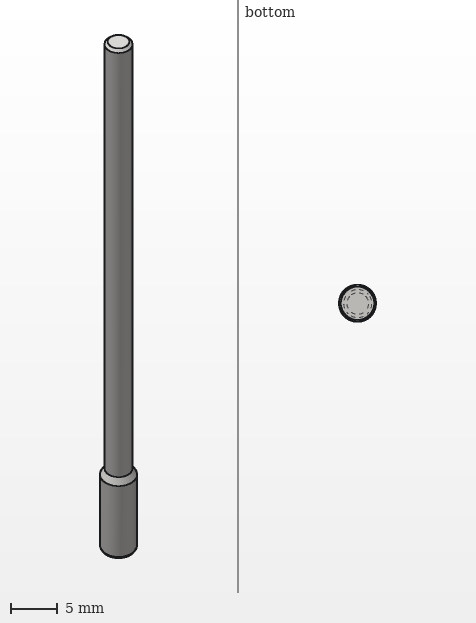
import cadquery as cq

total_length = 70.0
rod_diameter = 3.0
base_diameter = 4.0
base_length = 11.0

rod_tip_chamfer = 0.35
base_foot_chamfer_height = 0.35
base_foot_chamfer_width = 0.2
shoulder_height = 0.85

rod_radius = rod_diameter / 2
base_radius = base_diameter / 2


def make_base():
    """Thicker lower pin: chamfered foot, and a shoulder tapering to the rod."""
    foot_radius = base_radius - base_foot_chamfer_width
    half_profile = [
        (0, 0),
        (foot_radius, 0),
        (base_radius, base_foot_chamfer_height),
        (base_radius, base_length - shoulder_height),
        (rod_radius, base_length),
        (0, base_length),
    ]
    return cq.Workplane("XZ").polyline(half_profile).close().revolve(360, (0, 0), (0, 1))


def make_rod():
    """Slender rod standing on the base, with a chamfered tip."""
    rod = (
        cq.Workplane("XY")
        .workplane(offset=base_length)
        .circle(rod_radius)
        .extrude(total_length - base_length)
    )
    return rod.faces(">Z").edges().chamfer(rod_tip_chamfer)


base = make_base()
rod = make_rod()

result = cq.Compound.makeCompound([base.val(), rod.val()])